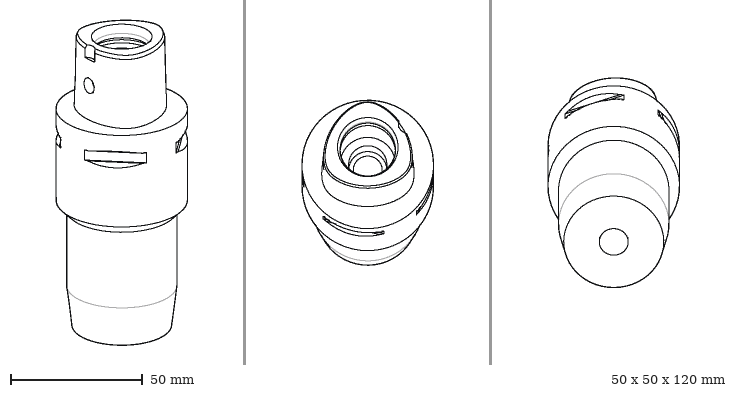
import math

import cadquery as cq

total_height = 120.0
shank_height = 29.9
flange_top = total_height - shank_height

flange_radius = 25.0
neck_radius = 21.0
neck_top = 48.0
flange_chamfer = flange_radius - neck_radius
nose_radius = 19.0
nose_height = 16.5

shank_mean_radius = 17.55
lobe_height = 1.15
taper_per_side = 1 / 40
tip_chamfer_height = 1.5
tip_chamfer_inset = 0.6
outline_point_count = 36

mouth_radius = 11.5
bore_radius = 10.5
mouth_depth = 3.4
groove_radius = 12.0
groove_start = 5.2
groove_end = 9.5
groove_slope = groove_radius - bore_radius
bore_depth = shank_height
counterbore_radius = 7.25
counterbore_depth = 40.0
through_radius = 5.5

notch_radius = 3.6
notch_depth = 5.2
notch_inner_y = -14.1
blind_hole_radius = 3.05
blind_hole_z = 104.1
blind_hole_floor_y = -11.9

slot_count = 4
slot_z = 80.0
slot_floor_distance = 22.0
slot_floor_height = 4.2
slot_ledge_width = 0.7
slot_flare_angle = 30.0
slot_first_angle = 45.0


def make_body():
    """Revolve the flange, neck and nose."""
    profile = [
        (0, 0),
        (-nose_radius, 0),
        (-neck_radius, nose_height),
        (-neck_radius, neck_top),
        (-flange_radius, neck_top + flange_chamfer),
        (-flange_radius, flange_top),
        (0, flange_top),
    ]
    return cq.Workplane("YZ").polyline(profile).close().revolve(360, (0, 0), (0, 1))


def shank_outline_point(mean_radius, angle):
    """Point of the equal-width outline whose outward normal has the given angle."""
    lobe_angle = 3 * (angle - math.pi / 2)
    support = mean_radius + lobe_height * math.cos(lobe_angle)
    slope = -3 * lobe_height * math.sin(lobe_angle)
    x = support * math.cos(angle) - slope * math.sin(angle)
    y = support * math.sin(angle) + slope * math.cos(angle)
    return x, y


def shank_section(bottom_z, bottom_mean_radius, top_z, top_mean_radius):
    """Loft straight between two parallel shank outlines."""
    angles = [2 * math.pi * i / outline_point_count - math.pi / 2 for i in range(outline_point_count)]
    bottom_points = [shank_outline_point(bottom_mean_radius, angle) for angle in angles]
    top_points = [shank_outline_point(top_mean_radius, angle) for angle in angles]
    return (
        cq.Workplane("XY", origin=(0, 0, bottom_z))
        .spline(bottom_points, periodic=True, makeWire=True)
        .workplane(offset=top_z - bottom_z)
        .spline(top_points, periodic=True, makeWire=True)
        .loft(ruled=True)
    )


def make_shank():
    """Tapered shank with its chamfered tip."""
    chamfer_z = total_height - tip_chamfer_height
    chamfer_mean_radius = shank_mean_radius - (chamfer_z - flange_top) * taper_per_side
    tip_mean_radius = chamfer_mean_radius - tip_chamfer_inset
    taper = shank_section(flange_top, shank_mean_radius, chamfer_z, chamfer_mean_radius)
    tip = shank_section(chamfer_z, chamfer_mean_radius, total_height, tip_mean_radius)
    return taper.union(tip)


def make_bore():
    """Revolve the conical mouth, grooved bore, counterbore and through hole."""
    radius_and_depth = [
        (0, 0),
        (mouth_radius, 0),
        (bore_radius, mouth_depth),
        (bore_radius, groove_start),
        (groove_radius, groove_start + groove_slope),
        (groove_radius, groove_end - groove_slope),
        (bore_radius, groove_end),
        (bore_radius, bore_depth),
        (counterbore_radius, bore_depth),
        (counterbore_radius, counterbore_depth),
        (through_radius, counterbore_depth),
        (through_radius, total_height),
        (0, total_height),
    ]
    profile = [(radius, total_height - depth) for radius, depth in radius_and_depth]
    return cq.Workplane("YZ").polyline(profile).close().revolve(360, (0, 0), (0, 1))


def make_key_notch():
    """Upright round cutter for the notch at the tip."""
    return (
        cq.Workplane("XY", origin=(0, notch_inner_y - notch_radius, total_height - notch_depth))
        .circle(notch_radius)
        .extrude(notch_depth)
    )


def make_blind_hole():
    """Flat-bottomed cutter entering from the -Y side."""
    return (
        cq.Workplane("XZ", origin=(0, blind_hole_floor_y, blind_hole_z))
        .circle(blind_hole_radius)
        .extrude(flange_radius + blind_hole_floor_y)
    )


def make_gripper_slot():
    """Straight cutter with a flat floor, narrow square ledges and flared sides, facing +X."""
    floor_half = slot_floor_height / 2
    ledge_end = slot_floor_distance + slot_ledge_width
    flare = (flange_radius - ledge_end) * math.tan(math.radians(slot_flare_angle))
    mouth_half = floor_half + flare
    profile = [
        (slot_floor_distance, -floor_half),
        (ledge_end, -floor_half),
        (flange_radius, -mouth_half),
        (flange_radius, mouth_half),
        (ledge_end, floor_half),
        (slot_floor_distance, floor_half),
    ]
    return (
        cq.Workplane("XZ", origin=(0, 0, slot_z))
        .polyline(profile)
        .close()
        .extrude(flange_radius, both=True)
    )


result = make_body().union(make_shank())
result = result.cut(make_bore()).cut(make_key_notch()).cut(make_blind_hole())
for slot_index in range(slot_count):
    slot_angle = slot_first_angle + slot_index * 360 / slot_count
    result = result.cut(make_gripper_slot().rotate((0, 0, 0), (0, 0, 1), slot_angle))